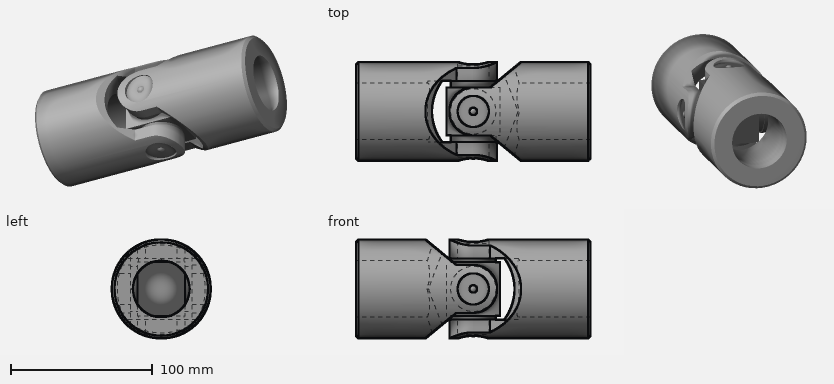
import cadquery as cq

LENGTH = 166.0
YOKE_DIAMETER = 70.0
BORE_DIAMETER = 40.0
END_CHAMFER = 2.0
YOKE_RADIUS = YOKE_DIAMETER / 2
HALF_LENGTH = LENGTH / 2

EAR_HALF_WIDTH = 17.0
EAR_STRAIGHT = 12.0
FLARE_END = 33.9
EAR_GAP = 43.3
GAP_MID_RADIUS = 38.3
GAP_SIDE_RADIUS = 27.9

BLOCK_LENGTH = 38.0
BLOCK_WIDTH = 2 * EAR_HALF_WIDTH
BLOCK_HEIGHT = 38.0
BOSS_DIAMETER = 32.0
PIN_DIAMETER = 22.0
PIN_SPAN = 64.4
DOME_DIAMETER = 5.3
DOME_HEIGHT = 1.3

X_AXIS = cq.Vector(1, 0, 0)
Z_AXIS = cq.Vector(0, 0, 1)


def cylinder(diameter, length, plane="XY"):
    """Cylinder centred on the joint centre, along the plane normal."""
    return cq.Workplane(plane).circle(diameter / 2).extrude(length / 2, both=True)


def ear_outline():
    """Side profile: rounded ears flaring out to the full tube width."""
    return (
        cq.Workplane("XY")
        .moveTo(0, EAR_HALF_WIDTH)
        .lineTo(EAR_STRAIGHT, EAR_HALF_WIDTH)
        .lineTo(FLARE_END, YOKE_RADIUS)
        .lineTo(HALF_LENGTH, YOKE_RADIUS)
        .lineTo(HALF_LENGTH, -YOKE_RADIUS)
        .lineTo(FLARE_END, -YOKE_RADIUS)
        .lineTo(EAR_STRAIGHT, -EAR_HALF_WIDTH)
        .lineTo(0, -EAR_HALF_WIDTH)
        .threePointArc((-EAR_HALF_WIDTH, 0), (0, EAR_HALF_WIDTH))
        .close()
        .extrude(YOKE_RADIUS, both=True)
    )


def ear_gap():
    """Slot between the ears; its floor tapers about Y toward both sides."""
    double_cone = (
        cq.Workplane("XY")
        .moveTo(0, -YOKE_RADIUS)
        .lineTo(GAP_SIDE_RADIUS, -YOKE_RADIUS)
        .lineTo(GAP_MID_RADIUS, 0)
        .lineTo(GAP_SIDE_RADIUS, YOKE_RADIUS)
        .lineTo(0, YOKE_RADIUS)
        .close()
        .revolve(360, (0, 0), (0, 1))
    )
    return double_cone.intersect(cq.Workplane("XY").box(LENGTH, YOKE_DIAMETER, EAR_GAP))


def make_yoke():
    """Bored yoke on the +X side, with its ears above and below the centre."""
    tube = (
        cq.Workplane("YZ", origin=(-EAR_HALF_WIDTH, 0, 0))
        .circle(YOKE_RADIUS)
        .extrude(HALF_LENGTH + EAR_HALF_WIDTH)
        .faces(">X")
        .chamfer(END_CHAMFER)
    )
    bore = cylinder(BORE_DIAMETER, LENGTH, "YZ")
    pin_holes = cylinder(PIN_DIAMETER, YOKE_DIAMETER)
    return tube.intersect(ear_outline()).cut(ear_gap()).cut(bore).cut(pin_holes)


def make_dome():
    """Shallow spherical cap on the end face of the upper pin."""
    dome_radius = DOME_DIAMETER / 2
    return (
        cq.Workplane("XZ", origin=(0, 0, PIN_SPAN / 2))
        .moveTo(0, 0)
        .lineTo(dome_radius, 0)
        .radiusArc(
            (0, DOME_HEIGHT),
            -(dome_radius**2 + DOME_HEIGHT**2) / (2 * DOME_HEIGHT),
        )
        .close()
        .revolve(360, (0, 0), (0, 1))
    )


def make_cross():
    """Central block with a bossed, dome-ended pin toward each of four ears."""
    cross = cq.Workplane("XY").box(BLOCK_LENGTH, BLOCK_WIDTH, BLOCK_HEIGHT)
    dome = make_dome()
    arms = (
        cylinder(BOSS_DIAMETER, EAR_GAP)
        .union(cylinder(PIN_DIAMETER, PIN_SPAN))
        .union(dome)
        .union(dome.mirror("XY"))
    )
    for angle in (0, 90):
        cross = cross.union(arms.rotate(cq.Vector(), X_AXIS, angle))
    return cross


right_yoke = make_yoke()
left_yoke = right_yoke.rotate(cq.Vector(), Z_AXIS, 180).rotate(cq.Vector(), X_AXIS, 90)
cross = make_cross()

bodies = [left_yoke, right_yoke, cross]
result = cq.Compound.makeCompound([body.solids().val() for body in bodies])